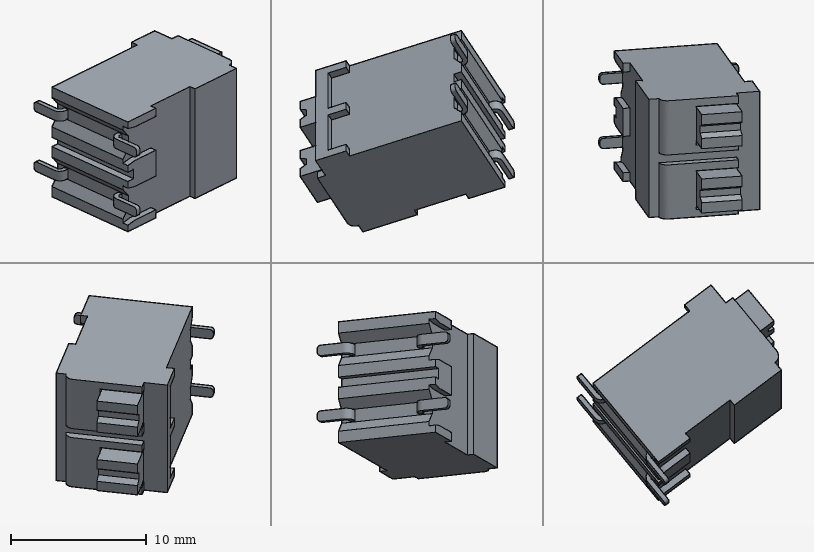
import cadquery as cq


height = 9.2
pole_pitch = 5.0
pole_heights = (-pole_pitch / 2, pole_pitch / 2)
housing_left = -3.64
housing_right = 4.14
shoulder_y = 11.54

cap_left = -2.48
cap_right = 3.4
cap_height = 0.65
cap_top_y = shoulder_y + cap_height

pole_gap = 0.78
front_groove_depth = 0.61

flange_left = -4.24
flange_arm_y = 9.06
flange_web_y = 10.51
outer_arm_height = 0.68
middle_arm_height = 0.69

recess_floor_x = 3.63
recess_front_y = 2.96
recess_back_y = 7.12
window_mouth_height = 3.1
window_inner_height = 2.83
window_taper_depth = 0.72

v_mouth_height = 2.47
v_floor_height = 0.97

button_left = -2.44
button_width = 3.06
button_height = 2.65
button_top_y = 13.61
notch_mouth_height = 1.05
notch_floor_height = 0.53
notch_depth = 0.51

slot_height = 2.83
slot_end_clearance = 0.08
slot_chamfer_depth = 0.22
slot_chamfer_width = 0.1

lead_span = 10.5
lead_front_y = -0.24
lead_thickness = 0.37
lead_height = 0.8
lead_bend_radius = 0.6
lead_inner_x = 2.58
lead_tip_radius = 0.28


def box(x_range, y_range, z_center, z_height):
    """Box between two X and two Y limits, centred on a height."""
    x_size = x_range[1] - x_range[0]
    y_size = y_range[1] - y_range[0]
    corner = (x_range[0], y_range[0], z_center - z_height / 2)
    return cq.Workplane("XY").box(x_size, y_size, z_height, centered=False).translate(corner)


def side_prism(points, x_start, x_end, z_center=0):
    """Outline of (Y, Z) points extruded along X and moved to a height."""
    prism = cq.Workplane("YZ").polyline(points).close().extrude(x_end - x_start)
    return prism.translate((x_start, 0, z_center))


def trapezoid(y_start, height_start, y_end, height_end):
    """Symmetric (Y, Z) outline that changes height between two Y positions."""
    return [
        (y_start, -height_start / 2),
        (y_end, -height_end / 2),
        (y_end, height_end / 2),
        (y_start, height_start / 2),
    ]


def make_housing():
    """Block with the left flange, the right recess and the rounded cap."""
    outline = (
        cq.Workplane("XY")
        .moveTo(housing_left, 0)
        .lineTo(housing_right, 0)
        .lineTo(housing_right, recess_front_y)
        .lineTo(recess_floor_x, recess_front_y)
        .lineTo(recess_floor_x, recess_back_y)
        .lineTo(housing_right, recess_back_y)
        .lineTo(housing_right, shoulder_y)
        .lineTo(cap_right, shoulder_y)
        .radiusArc((cap_right - cap_height, cap_top_y), -cap_height)
        .lineTo(cap_left, cap_top_y)
        .lineTo(cap_left, shoulder_y)
        .lineTo(flange_left, shoulder_y)
        .lineTo(flange_left, flange_arm_y)
        .lineTo(housing_left, flange_arm_y)
        .close()
    )
    return outline.extrude(height / 2, both=True)


def cut_pole_gap(body):
    """Separate the poles at the front face and at the cap."""
    front = box((housing_left, housing_right), (0, front_groove_depth), 0, pole_gap)
    rear = box((cap_left, cap_right), (shoulder_y, cap_top_y), 0, pole_gap)
    return body.cut(front).cut(rear)


def cut_flange_arms(body):
    """Leave only the outer and middle arms in front of the flange web."""
    opening_top = height / 2 - outer_arm_height
    opening_bottom = middle_arm_height / 2
    center = (opening_top + opening_bottom) / 2
    for z in (-center, center):
        opening = box(
            (flange_left, housing_left), (flange_arm_y, flange_web_y), z, opening_top - opening_bottom
        )
        body = body.cut(opening)
    return body


def make_pole_cut(z):
    """Material removed at one pole: front groove, side window and button slot."""
    groove = side_prism(
        trapezoid(0, v_mouth_height, front_groove_depth, v_floor_height), housing_left, housing_right, z
    )
    window = box((recess_floor_x, housing_right), (0, recess_front_y), z, window_inner_height)
    window_mouth = side_prism(
        trapezoid(0, window_mouth_height, window_taper_depth, window_inner_height),
        recess_floor_x, housing_right, z,
    )
    slot_right = button_left + button_width + slot_end_clearance
    slot = box((cap_left, slot_right), (shoulder_y, cap_top_y), z, slot_height)
    slot_mouth = side_prism(
        trapezoid(
            cap_top_y - slot_chamfer_depth, slot_height,
            cap_top_y, slot_height + 2 * slot_chamfer_width,
        ),
        cap_left, slot_right, z,
    )
    return groove.union(window).union(window_mouth).union(slot).union(slot_mouth)


def make_button(z):
    """Push button with a tapered notch across its end."""
    button = box((button_left, button_left + button_width), (shoulder_y, button_top_y), z, button_height)
    notch = side_prism(
        trapezoid(button_top_y - notch_depth, notch_floor_height, button_top_y, notch_mouth_height),
        button_left, button_left + button_width, z,
    )
    return button.cut(notch)


def make_right_lead(z):
    """Bent strip from the groove floor out to the right, with a rounded tip."""
    bend_x = lead_inner_x + lead_bend_radius
    bend_y = lead_front_y + lead_bend_radius
    inner_radius = lead_bend_radius - lead_thickness
    lead_back_y = lead_front_y + lead_thickness
    strip = (
        cq.Workplane("XY")
        .moveTo(lead_inner_x, front_groove_depth)
        .lineTo(lead_inner_x, bend_y)
        .radiusArc((bend_x, lead_front_y), -lead_bend_radius)
        .lineTo(lead_span / 2, lead_front_y)
        .lineTo(lead_span / 2, lead_back_y)
        .lineTo(bend_x, lead_back_y)
        .radiusArc((lead_inner_x + lead_thickness, bend_y), inner_radius)
        .lineTo(lead_inner_x + lead_thickness, front_groove_depth)
        .close()
        .extrude(lead_height / 2, both=True)
    )
    strip = strip.faces(">X").edges("|Y").fillet(lead_tip_radius)
    return strip.translate((0, 0, z))


result = cut_flange_arms(cut_pole_gap(make_housing()))
for pole_z in pole_heights:
    right_lead = make_right_lead(pole_z)
    result = result.cut(make_pole_cut(pole_z))
    result = result.union(make_button(pole_z))
    result = result.union(right_lead).union(right_lead.mirror("YZ"))